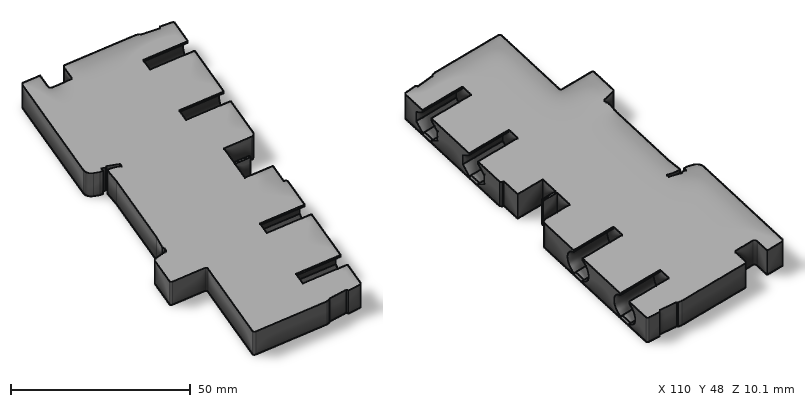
import cadquery as cq
import math

LENGTH = 110.0
HEIGHT = 48.0
THICKNESS = 10.1

SHELF_Y = 13.2
RECESS_Y = 38.1
LOW_TOP_Y = 47.0

FLANK = (
    (0.0, 36.4),
    (0.2, 37.4),
    (0.5, 37.7),
    (1.1, 43.3),
    (0.5, 43.7),
    (0.9, HEIGHT),
)
TOP_CORNER_RADIUS = 0.5
END_CORNER_RADIUS = 0.7

RECESS_LEFT = 47.7
RECESS_RIGHT = 59.8
RECESS_CORNER_RADIUS = 1.2
LOW_TOP_RIGHT = 66.1
LOW_TOP_BEVEL = 0.4
PIN_LEFT = 53.5
PIN_WIDTH = 0.7
PIN_TOP_Y = 43.0

FOOT_NOTCH_DEPTH = 5.4
FOOT_TOP_Y = 5.9
NOTCH_UPPER_RADIUS = 0.4
NOTCH_LOWER_RADIUS = 0.9
TOE_START_X = 35.6
TOE_END = (38.1, 1.9)
TOE_RADIUS = 2.5
HOOK_X = 38.6
HOOK_SIDE_Y = 3.6
HOOK_TOP_Y = 4.7

SLIT_ROOT_X = 37.6
SLIT_TOOTH = (38.0, 5.8)
SLIT_LEFT_START_Y = 6.4
SLIT_LEFT_MIDDLE = (38.1, 7.8)
SLIT_TIP_LEFT = 38.7
SLIT_TIP_RIGHT = 39.7
SLIT_TOP_Y = 10.0
SLIT_RIGHT_MIDDLE = (39.0, 7.7)
SLIT_RIGHT_END_X = 38.9

SEAT_Y = 6.2
SEAT_DIP_Y = 5.8
SEAT_LEFT_DIP_X = 39.6
SEAT_FLAT_START = 43.6
SEAT_FLAT_END = 66.8
SEAT_RIGHT_DIP_X = 70.7
SEAT_RISE_X = 71.5
SEAT_END = 72.5
SEAT_END_RADIUS = 0.3

RIGHT_FOOT_LEFT = 73.6
RIGHT_FOOT_RIGHT = 83.0
RIGHT_FOOT_Y = 1.6
RIGHT_FOOT_RADIUS = 0.5

ENTRY_OFFSETS = (10.9, 31.7)
ENTRY_DEPTH = 14.2
SLOT_WIDTH = 4.0
CAVITY_RADIUS = 4.7
LIP = 0.72
MOUTH_CHAMFER = 0.7
CAVITY_HALF_HEIGHT = THICKNESS / 2 - LIP
CAVITY_FLAT_HALF = math.sqrt(CAVITY_RADIUS**2 - CAVITY_HALF_HEIGHT**2)


def housing():
    """Plate with the full housing outline."""
    left_flank = list(FLANK)
    right_flank = [(LENGTH - inset, y) for inset, y in FLANK]
    plate = (
        cq.Workplane("XY")
        .lineTo(TOE_START_X, 0)
        .radiusArc(TOE_END, -TOE_RADIUS)
        .lineTo(HOOK_X, HOOK_SIDE_Y)
        .lineTo(HOOK_X, HOOK_TOP_Y)
        .lineTo(SLIT_ROOT_X, HOOK_TOP_Y)
        .lineTo(*SLIT_TOOTH)
        .lineTo(SLIT_ROOT_X, SLIT_LEFT_START_Y)
        .threePointArc(SLIT_LEFT_MIDDLE, (SLIT_TIP_LEFT, SLIT_TOP_Y))
        .lineTo(SLIT_TIP_RIGHT, SLIT_TOP_Y)
        .threePointArc(SLIT_RIGHT_MIDDLE, (SLIT_RIGHT_END_X, SEAT_DIP_Y))
        .lineTo(SEAT_LEFT_DIP_X, SEAT_DIP_Y)
        .lineTo(SEAT_FLAT_START, SEAT_Y)
        .lineTo(SEAT_FLAT_END, SEAT_Y)
        .lineTo(SEAT_RIGHT_DIP_X, SEAT_DIP_Y)
        .lineTo(SEAT_RISE_X, SEAT_Y)
        .lineTo(SEAT_END, SEAT_Y)
        .lineTo(RIGHT_FOOT_LEFT, RIGHT_FOOT_Y)
        .lineTo(RIGHT_FOOT_RIGHT, RIGHT_FOOT_Y)
        .lineTo(RIGHT_FOOT_RIGHT, SHELF_Y)
        .lineTo(LENGTH, SHELF_Y)
        .polyline(right_flank, includeCurrent=True)
        .lineTo(LOW_TOP_RIGHT + LOW_TOP_BEVEL, HEIGHT)
        .lineTo(LOW_TOP_RIGHT, HEIGHT - LOW_TOP_BEVEL)
        .lineTo(LOW_TOP_RIGHT, LOW_TOP_Y)
        .lineTo(RECESS_RIGHT, LOW_TOP_Y)
        .lineTo(RECESS_RIGHT, RECESS_Y)
        .lineTo(RECESS_LEFT, RECESS_Y)
        .lineTo(RECESS_LEFT, HEIGHT)
        .polyline(left_flank[::-1], includeCurrent=True)
        .lineTo(0, SHELF_Y)
        .lineTo(FOOT_NOTCH_DEPTH, SHELF_Y)
        .lineTo(FOOT_NOTCH_DEPTH, FOOT_TOP_Y)
        .lineTo(0, FOOT_TOP_Y)
        .close()
        .extrude(THICKNESS)
    )
    rounded_corners = (
        (*left_flank[-1], TOP_CORNER_RADIUS),
        (*right_flank[-1], TOP_CORNER_RADIUS),
        (RECESS_LEFT, HEIGHT, RECESS_CORNER_RADIUS),
        (0, 0, END_CORNER_RADIUS),
        (0, SHELF_Y, END_CORNER_RADIUS),
        (LENGTH, SHELF_Y, END_CORNER_RADIUS),
        (FOOT_NOTCH_DEPTH, SHELF_Y, NOTCH_UPPER_RADIUS),
        (FOOT_NOTCH_DEPTH, FOOT_TOP_Y, NOTCH_LOWER_RADIUS),
        (SEAT_END, SEAT_Y, SEAT_END_RADIUS),
        (RIGHT_FOOT_LEFT, RIGHT_FOOT_Y, RIGHT_FOOT_RADIUS),
        (RIGHT_FOOT_RIGHT, RIGHT_FOOT_Y, RIGHT_FOOT_RADIUS),
        (RIGHT_FOOT_RIGHT, SHELF_Y, RIGHT_FOOT_RADIUS),
    )
    for x, y, radius in rounded_corners:
        plate = round_edge(plate, x, y, radius)
    return plate


def round_edge(body, x, y, radius):
    """Round the thickness-wise edge that stands at (x, y)."""
    corner = cq.selectors.NearestToPointSelector((x, y, THICKNESS / 2))
    return body.edges("|Z").edges(corner).fillet(radius)


def pin():
    """Thin contact pin standing in the central recess."""
    return cq.Workplane("XY").box(
        PIN_WIDTH, PIN_TOP_Y - RECESS_Y, THICKNESS, centered=False
    ).translate((PIN_LEFT, RECESS_Y, 0))


def mouth_plane(x):
    """Workplane on the top edge at x, at mid thickness, with its normal pointing into the housing."""
    return cq.Workplane(cq.Plane((x, HEIGHT, THICKNESS / 2), (1, 0, 0), (0, -1, 0)))


def round_cavity(x):
    """Round bore cut flat at both lips."""
    return (
        mouth_plane(x)
        .moveTo(-CAVITY_FLAT_HALF, -CAVITY_HALF_HEIGHT)
        .lineTo(CAVITY_FLAT_HALF, -CAVITY_HALF_HEIGHT)
        .threePointArc((CAVITY_RADIUS, 0), (CAVITY_FLAT_HALF, CAVITY_HALF_HEIGHT))
        .lineTo(-CAVITY_FLAT_HALF, CAVITY_HALF_HEIGHT)
        .threePointArc((-CAVITY_RADIUS, 0), (-CAVITY_FLAT_HALF, -CAVITY_HALF_HEIGHT))
        .close()
        .extrude(ENTRY_DEPTH)
    )


def faceted_cavity(x):
    """Eight-sided bore with the same flats and the same width as the round one."""
    half_outline = [
        (CAVITY_RADIUS, -CAVITY_FLAT_HALF),
        (CAVITY_RADIUS, CAVITY_FLAT_HALF),
        (CAVITY_FLAT_HALF, CAVITY_HALF_HEIGHT),
        (-CAVITY_FLAT_HALF, CAVITY_HALF_HEIGHT),
    ]
    other_half = [(-u, -v) for u, v in half_outline]
    return mouth_plane(x).polyline(half_outline + other_half).close().extrude(ENTRY_DEPTH)


def mouth_bevel(x):
    """Wedge-ended block that bevels both lips at the mouth of a cavity."""
    inner = CAVITY_HALF_HEIGHT
    outer = CAVITY_HALF_HEIGHT + MOUTH_CHAMFER
    start_y = HEIGHT - MOUTH_CHAMFER
    return (
        cq.Workplane("YZ", origin=(x - CAVITY_FLAT_HALF, 0, THICKNESS / 2))
        .polyline([(start_y, -inner), (HEIGHT, -outer), (HEIGHT, outer), (start_y, inner)])
        .close()
        .extrude(2 * CAVITY_FLAT_HALF)
    )


def face_slot(x):
    """Narrow slot opening a cavity to the +Z face."""
    return cq.Workplane("XY").box(
        SLOT_WIDTH, ENTRY_DEPTH, THICKNESS / 2, centered=(True, False, False)
    ).translate((x, HEIGHT - ENTRY_DEPTH, THICKNESS / 2))


result = housing().union(pin())
for offset in ENTRY_OFFSETS:
    for x, cavity in ((offset, round_cavity), (LENGTH - offset, faceted_cavity)):
        result = result.cut(cavity(x)).cut(mouth_bevel(x)).cut(face_slot(x))